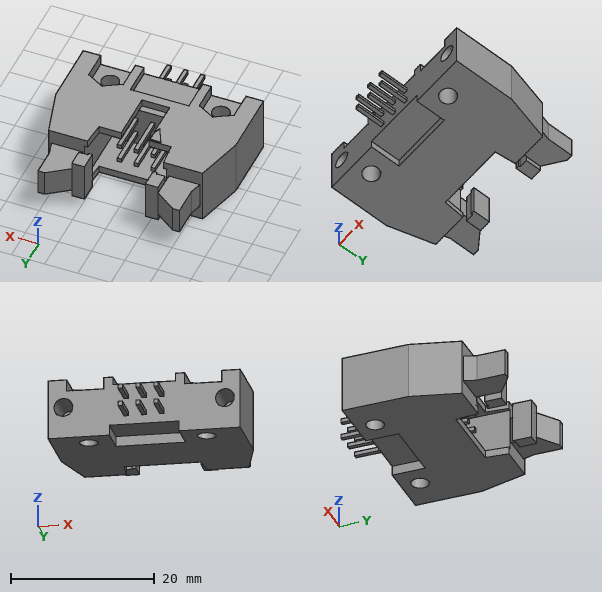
import cadquery as cq
import math


housing_width = 27.2
housing_height = 8.5
housing_length = 17.18
taper_start_y = 9.92
end_half_width = 11.62
mid_z = housing_height / 2

notch_floor_y = 13.75
notch_floor_half_width = 5.42
notch_mouth_half_width = 5.73

wall = 1.1
cavity_width = 12.4
cavity_floor_y = 7.35

slot_width = 4.17
slot_floor_y = 6.35

pitch = 2.53
columns = 3
rows = 2
pin_size = 0.6
pin_tail = 4.55
pin_tip_y = 13.43

mark_width = 2.42
mark_start_y = 10.9
mark_depth = 0.1

mount_spacing = 16.68
mount_y = 2.8
hole_diameter = 2.6
nut_across_flats = 5.23
nut_depth = 1.65

blind_spacing = 22.85
blind_z = 4.48
blind_depth = 5.55

recess_length = 4.95
top_recess_width = 8.8
top_recess_depth = wall
bottom_recess_width = 9.85
bottom_recess_depth = 1.45

arm_height = 4.0
arm_inner_x = 6.5
arm_root_x = 11.2
arm_outer_x = 10.68
arm_tip_inner_x = 9.65
arm_bend_y = 19.0
arm_shoulder_y = 21.02
arm_tip_y = 23.25
hook_height = 6.03
hook_inner_x = 4.6
hook_base_y = 18.5
lip_width = 0.58
lip_length = 0.28


def block(x_range, y_range, z_range):
    """Box spanning the given (low, high) range on each axis."""
    spans = [high - low for low, high in (x_range, y_range, z_range)]
    corner = (x_range[0], y_range[0], z_range[0])
    return cq.Workplane("XY").box(*spans, centered=False).translate(corner)


def centered_block(width, y_range, z_range):
    """Box centered on X = 0."""
    return block((-width / 2, width / 2), y_range, z_range)


def plate(points, z_low, height):
    """Polygon in the XY plane extruded upward from z_low."""
    return cq.Workplane("XY").workplane(offset=z_low).polyline(points).close().extrude(height)


def housing_shell():
    right_side = [
        (housing_width / 2, 0),
        (housing_width / 2, taper_start_y),
        (end_half_width, housing_length),
        (notch_mouth_half_width, housing_length),
        (notch_floor_half_width, notch_floor_y),
    ]
    left_side = [(-x, y) for x, y in reversed(right_side)]
    shell = plate(right_side + left_side, 0, housing_height)
    cavity = centered_block(
        cavity_width, (cavity_floor_y, housing_length), (wall, housing_height - wall)
    )
    slot = centered_block(
        slot_width, (slot_floor_y, housing_length), (housing_height - wall, housing_height)
    )
    return shell.cut(cavity).cut(slot)


def edge_recesses():
    top = centered_block(
        top_recess_width, (0, recess_length), (housing_height - top_recess_depth, housing_height)
    )
    bottom = centered_block(bottom_recess_width, (0, recess_length), (0, bottom_recess_depth))
    return top.union(bottom)


def pin_one_mark():
    center_x = -pitch * (columns - 1) / 2
    triangle = [
        (center_x, mark_start_y),
        (center_x + mark_width / 2, pin_tip_y),
        (center_x - mark_width / 2, pin_tip_y),
    ]
    return plate(triangle, housing_height - mark_depth, mark_depth)


def mounting_cut(x):
    """Through hole plus a nut pocket with one corner inward, run out to the pin-side face."""
    hole = cq.Workplane("XY").center(x, mount_y).circle(hole_diameter / 2).extrude(housing_height)
    flat_half = nut_across_flats / 2
    corner_radius = flat_half / math.cos(math.pi / 6)
    pocket_outline = [
        (x - flat_half, 0),
        (x + flat_half, 0),
        (x + flat_half, mount_y + corner_radius / 2),
        (x, mount_y + corner_radius),
        (x - flat_half, mount_y + corner_radius / 2),
    ]
    return hole.union(plate(pocket_outline, housing_height - nut_depth, nut_depth))


def blind_holes():
    half_spacing = blind_spacing / 2
    return (
        cq.Workplane("XZ")
        .pushPoints([(-half_spacing, blind_z), (half_spacing, blind_z)])
        .circle(hole_diameter / 2)
        .extrude(-blind_depth)
    )


def pins():
    return (
        cq.Workplane("XZ", origin=(0, -pin_tail, mid_z))
        .rarray(pitch, pitch, columns, rows)
        .rect(pin_size, pin_size)
        .extrude(-(pin_tail + pin_tip_y))
    )


def latch():
    """Latch on the +X side: an arm rising from the housing and a taller hook facing inward."""
    arm_outline = [
        (arm_inner_x, housing_length),
        (arm_root_x, housing_length),
        (arm_outer_x, arm_bend_y),
        (arm_outer_x, arm_tip_y),
        (arm_tip_inner_x, arm_tip_y),
        (arm_inner_x, arm_shoulder_y),
    ]
    hook_outline = [
        (arm_inner_x, arm_shoulder_y),
        (hook_inner_x, arm_shoulder_y),
        (hook_inner_x, hook_base_y - lip_length),
        (hook_inner_x + lip_width, hook_base_y - lip_length),
        (hook_inner_x + lip_width, hook_base_y),
        (arm_inner_x, hook_base_y),
    ]
    arm = plate(arm_outline, mid_z - arm_height / 2, arm_height)
    hook = plate(hook_outline, mid_z - hook_height / 2, hook_height)
    return arm.union(hook)


result = housing_shell().cut(edge_recesses()).cut(pin_one_mark()).cut(blind_holes())
for side in (-1, 1):
    result = result.cut(mounting_cut(side * mount_spacing / 2))

right_latch = latch()
result = result.union(pins()).union(right_latch).union(right_latch.mirror("YZ"))